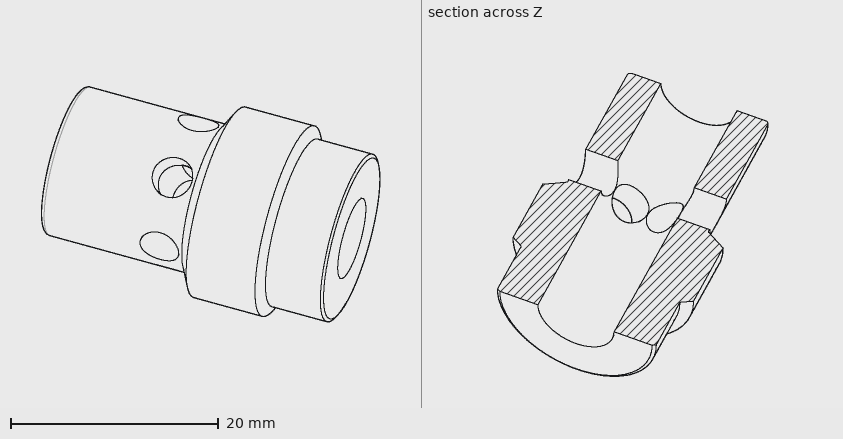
import cadquery as cq
import math

total_length = 29.21
collar_start = 14.48
collar_end = 23.39
cross_hole_x = 12.19

nose_diameter = 14.86
collar_diameter = 19.05
tail_diameter = 16.76
bore_diameter = 8.0
cross_hole_diameter = 3.96

nose_edge_radius = 0.4
tail_edge_length = 0.2
tail_edge_depth = 0.35
cone_angle = 60.0
cross_hole_count = 6
full_turn = 360.0

nose_radius = nose_diameter / 2
collar_radius = collar_diameter / 2
tail_radius = tail_diameter / 2


def cone_length(small_radius):
    """Axial length of a collar cone rising from small_radius to the collar."""
    return (collar_radius - small_radius) / math.tan(math.radians(cone_angle))


def make_body():
    """Turned outside shape about the X axis: rounded nose, coned collar and tail."""
    corner = nose_edge_radius * (1 - math.cos(math.radians(45)))
    profile = (
        cq.Workplane("XY")
        .moveTo(0, 0)
        .lineTo(0, nose_radius - nose_edge_radius)
        .threePointArc((corner, nose_radius - corner), (nose_edge_radius, nose_radius))
        .lineTo(collar_start, nose_radius)
        .lineTo(collar_start + cone_length(nose_radius), collar_radius)
        .lineTo(collar_end - cone_length(tail_radius), collar_radius)
        .lineTo(collar_end, tail_radius)
        .lineTo(total_length - tail_edge_length, tail_radius)
        .lineTo(total_length, tail_radius - tail_edge_depth)
        .lineTo(total_length, 0)
        .close()
    )
    return profile.revolve(full_turn, (0, 0, 0), (1, 0, 0))


def make_bore():
    """Through bore along the X axis."""
    return cq.Workplane("YZ").circle(bore_diameter / 2).extrude(total_length)


def cut_cross_holes(body):
    """Ring of radial holes through the nose wall, the first one facing -Y."""
    hole = (
        cq.Workplane("XZ")
        .center(cross_hole_x, 0)
        .circle(cross_hole_diameter / 2)
        .extrude(collar_radius)
    )
    for index in range(cross_hole_count):
        angle = index * full_turn / cross_hole_count
        body = body.cut(hole.rotate((0, 0, 0), (1, 0, 0), angle))
    return body


result = cut_cross_holes(make_body().cut(make_bore()))